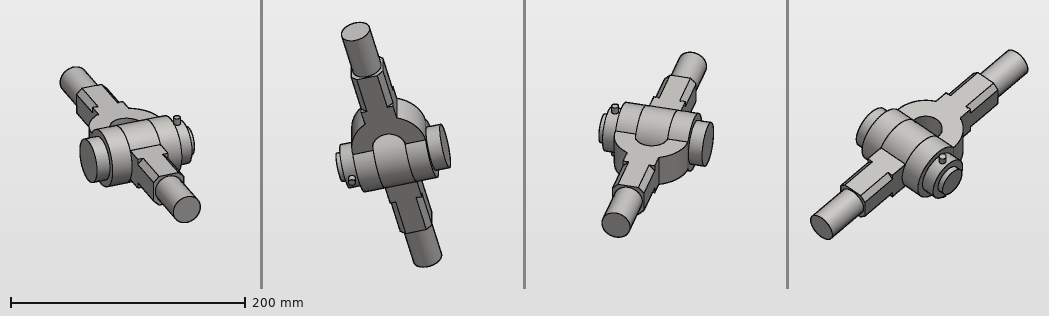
import cadquery as cq
import math

ROD_DIAMETER = 25.0
ROD_LENGTH = 40.0
SQUARE = 28.0
CHAMFER = 5.0
CHAMFER_LENGTH = 35.0
FORK_REACH = 137.5
EYE_REACH = 112.5

BOSS_RADIUS = 25.0
ARM_THICKNESS = 18.0
FORK_INNER_RADIUS = SQUARE / 2
FORK_OUTER_RADIUS = FORK_INNER_RADIUS + ARM_THICKNESS
BOW_CENTER_X = -math.sqrt(BOSS_RADIUS**2 - (SQUARE / 2) ** 2)

PIN_DIAMETER = 25.0
HEAD_DIAMETER = 38.0
HEAD_THICKNESS = 12.0
COLLAR_THICKNESS = 12.0
PIN_PROJECTION = 5.0
CROSS_PIN_DIAMETER = 6.0
CROSS_PIN_LENGTH = 2 * BOSS_RADIUS
CROSS_PIN_Y = FORK_OUTER_RADIUS + COLLAR_THICKNESS / 2


def cylinder_along_y(diameter, y_start, y_end):
    """Cylinder on the joint axis between two Y positions."""
    base = cq.Workplane("XZ", origin=(0, y_start, 0))
    return base.circle(diameter / 2).extrude(y_start - y_end)


def make_cross_pin():
    """Plain pin along Z through the collar and the shank."""
    base = cq.Workplane("XY", origin=(0, CROSS_PIN_Y, -CROSS_PIN_LENGTH / 2))
    return base.circle(CROSS_PIN_DIAMETER / 2).extrude(CROSS_PIN_LENGTH)


def make_rod_end(reach, inner_x):
    """Square bar from inner_x toward +X, chamfered near its end, then a round rod out to reach."""
    square_end = reach - ROD_LENGTH
    chamfer_start = square_end - CHAMFER_LENGTH
    plain = cq.Workplane("YZ", origin=(inner_x, 0, 0)).rect(SQUARE, SQUARE).extrude(chamfer_start - inner_x)
    chamfered = (
        cq.Workplane("YZ", origin=(chamfer_start, 0, 0))
        .rect(SQUARE, SQUARE)
        .extrude(CHAMFER_LENGTH)
        .edges("|X")
        .chamfer(CHAMFER)
    )
    rod = cq.Workplane("YZ", origin=(square_end, 0, 0)).circle(ROD_DIAMETER / 2).extrude(ROD_LENGTH)
    return plain.union(chamfered).union(rod)


def fork_bow(radius, height):
    """U-shaped slab: a half disc toward -X, continued straight to the joint axis."""
    return (
        cq.Workplane("XY", origin=(0, 0, -height / 2))
        .moveTo(0, radius)
        .lineTo(BOW_CENTER_X, radius)
        .threePointArc((BOW_CENTER_X - radius, 0), (BOW_CENTER_X, -radius))
        .lineTo(0, -radius)
        .close()
        .extrude(height)
    )


def make_fork_bosses():
    """Boss cylinder over both arms, cut flat where the round bow takes over."""
    bosses = cylinder_along_y(2 * BOSS_RADIUS, -FORK_OUTER_RADIUS, FORK_OUTER_RADIUS)
    flat_side = (
        cq.Workplane("XY")
        .box(2 * BOSS_RADIUS, 2 * FORK_OUTER_RADIUS, 2 * BOSS_RADIUS)
        .translate((BOW_CENTER_X - BOSS_RADIUS, 0, 0))
    )
    return bosses.cut(flat_side)


def make_fork():
    """Rod end that splits into two arms, each with a bored boss."""
    bar_start = -BOW_CENTER_X + FORK_INNER_RADIUS + ARM_THICKNESS / 2
    bar = make_rod_end(FORK_REACH, bar_start).rotate((0, 0, 0), (0, 0, 1), 180)
    gap = cylinder_along_y(2 * BOSS_RADIUS, -SQUARE / 2, SQUARE / 2)
    bore = cylinder_along_y(PIN_DIAMETER, -FORK_OUTER_RADIUS, FORK_OUTER_RADIUS)
    body = bar.union(fork_bow(FORK_OUTER_RADIUS, SQUARE)).union(make_fork_bosses())
    return body.cut(fork_bow(FORK_INNER_RADIUS, SQUARE)).cut(gap).cut(bore)


def make_eye():
    """Rod end with a single bored boss that fills the gap of the fork."""
    boss = cylinder_along_y(2 * BOSS_RADIUS, -SQUARE / 2, SQUARE / 2)
    bore = cylinder_along_y(PIN_DIAMETER, -SQUARE / 2, SQUARE / 2)
    return make_rod_end(EYE_REACH, 0).union(boss).cut(bore)


def make_pin():
    """Headed pin through fork, eye and collar, cross-drilled for the cross pin."""
    shank_end = FORK_OUTER_RADIUS + COLLAR_THICKNESS + PIN_PROJECTION
    shank = cylinder_along_y(PIN_DIAMETER, -FORK_OUTER_RADIUS, shank_end)
    head = cylinder_along_y(HEAD_DIAMETER, -FORK_OUTER_RADIUS - HEAD_THICKNESS, -FORK_OUTER_RADIUS)
    return shank.union(head).cut(make_cross_pin())


def make_collar():
    """Ring on the shank against the fork, cross-drilled for the cross pin."""
    collar_end = FORK_OUTER_RADIUS + COLLAR_THICKNESS
    ring = cylinder_along_y(HEAD_DIAMETER, FORK_OUTER_RADIUS, collar_end)
    bore = cylinder_along_y(PIN_DIAMETER, FORK_OUTER_RADIUS, collar_end)
    return ring.cut(bore).cut(make_cross_pin())


fork = make_fork()
eye = make_eye()
pin = make_pin()
collar = make_collar()
cross_pin = make_cross_pin()

result = cq.Compound.makeCompound([fork.val(), eye.val(), pin.val(), collar.val(), cross_pin.val()])